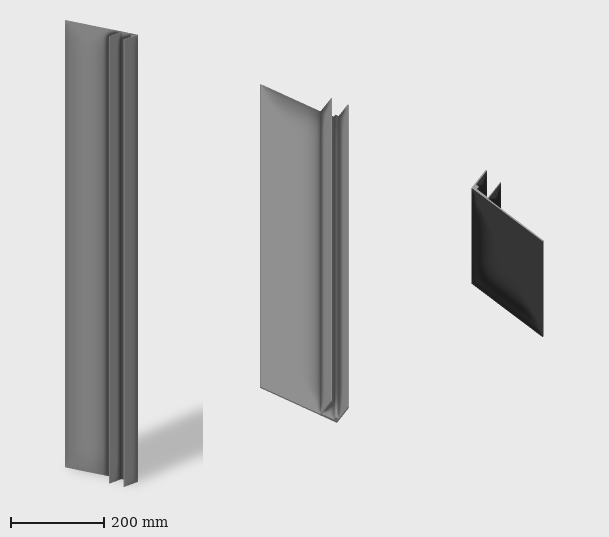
import cadquery as cq

LENGTH = 999.0
WIDTH = 193.0
DEPTH = 50.0

SHEET = 3.0
FLANGE = 2.0
ANGLE_LEG = 2.0
TRIM_LEG = 3.0

ANGLE_X = 150.0
SEAM_X = 165.0
BLOCK_X = 182.0

BLOCK_DEPTH = 12.0

ANGLE_DEPTH = 48.0

FLANGE_FRONT = -SHEET - FLANGE


def extrude_section(points):
    """Extrude a closed XY outline along the full length."""
    return cq.Workplane("XY").polyline(points).close().extrude(LENGTH)


panel = extrude_section([(0, 0), (BLOCK_X, 0), (BLOCK_X, -SHEET), (0, -SHEET)])

angle = extrude_section([
    (ANGLE_X, -SHEET),
    (SEAM_X, -SHEET),
    (SEAM_X, FLANGE_FRONT),
    (ANGLE_X + ANGLE_LEG, FLANGE_FRONT),
    (ANGLE_X + ANGLE_LEG, -ANGLE_DEPTH),
    (ANGLE_X, -ANGLE_DEPTH),
])

edge_trim = extrude_section([
    (BLOCK_X, 0),
    (WIDTH, 0),
    (WIDTH, -DEPTH),
    (WIDTH - TRIM_LEG, -DEPTH),
    (WIDTH - TRIM_LEG, -BLOCK_DEPTH),
    (BLOCK_X, -BLOCK_DEPTH),
    (BLOCK_X, FLANGE_FRONT),
    (SEAM_X, FLANGE_FRONT),
    (SEAM_X, -SHEET),
    (BLOCK_X, -SHEET),
])

result = cq.Compound.makeCompound([panel.val(), angle.val(), edge_trim.val()])